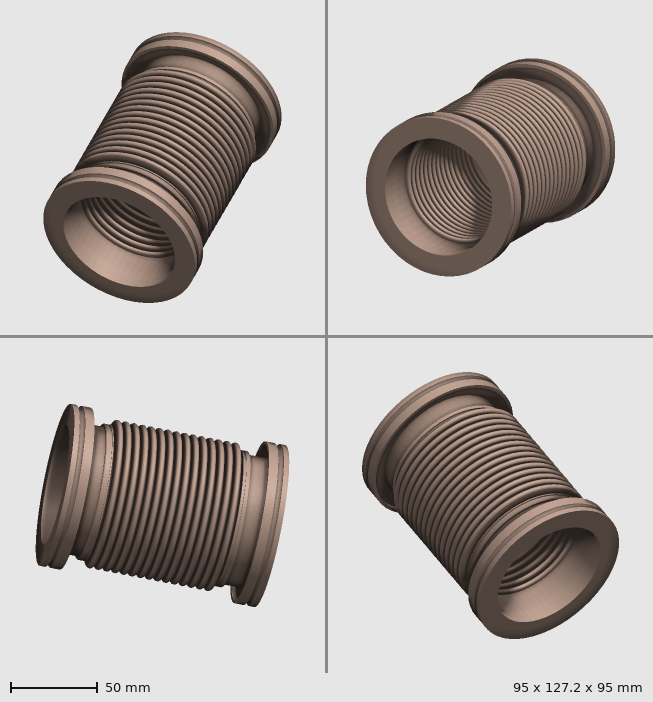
import cadquery as cq

total_length = 127.2
flange_radius = 47.51
bore_radius = 35.0

crest_count = 15
crest_span = 70.0
pitch = crest_span / (crest_count - 1)
wall = 0.32
crest_radius = 43.5
valley_radius = 32.5
crest_bend = 1.5
valley_bend = pitch / 2 - crest_bend
crest_bend_center = crest_radius - crest_bend
valley_bend_center = valley_radius + valley_bend

outer_valley_y = crest_count * pitch / 2
disc_inner_face = outer_valley_y + valley_bend
disc_outer_face = disc_inner_face + wall

flange_length = total_length / 2 - disc_outer_face
flange_thickness = 12.0
neck_radius = 38.0
face_recess_radius = 45.5
face_recess_depth = 2.5
o_ring_groove_center = 4.8
o_ring_groove_width = 3.3
o_ring_groove_depth = 1.5

weld_rim_radius = 40.0
weld_rim_start = 20.7
weld_rim_chamfer = 0.5
weld_groove_width = 1.0
weld_groove_depth = 0.8
weld_lip = 0.45


def revolve_about_y(profile):
    """Turn a closed profile drawn in the XY plane around the Y axis."""
    return profile.close().revolve(360, (0, 0, 0), (0, 1, 0))


def make_flange(side):
    """Flange at the +Y end (side = 1) or the -Y end (side = -1)."""

    def at(radius, depth):
        return (radius, side * (total_length / 2 - depth))

    groove_start = o_ring_groove_center - o_ring_groove_width / 2
    groove_end = o_ring_groove_center + o_ring_groove_width / 2
    recess_floor = flange_thickness - face_recess_depth
    weld_groove_end = flange_length - weld_lip
    weld_groove_start = weld_groove_end - weld_groove_width
    weld_groove_floor = weld_rim_radius - weld_groove_depth

    profile = (
        cq.Workplane("XY")
        .moveTo(*at(bore_radius, 0))
        .lineTo(*at(flange_radius, 0))
        .lineTo(*at(flange_radius, groove_start))
        .threePointArc(
            at(flange_radius - o_ring_groove_depth, o_ring_groove_center),
            at(flange_radius, groove_end),
        )
        .lineTo(*at(flange_radius, flange_thickness))
        .lineTo(*at(face_recess_radius, flange_thickness))
        .lineTo(*at(face_recess_radius, recess_floor))
        .lineTo(*at(neck_radius, recess_floor))
        .lineTo(*at(neck_radius, weld_rim_start))
        .lineTo(*at(weld_rim_radius - weld_rim_chamfer, weld_rim_start))
        .lineTo(*at(weld_rim_radius, weld_rim_start + weld_rim_chamfer))
        .lineTo(*at(weld_rim_radius, weld_groove_start))
        .lineTo(*at(weld_groove_floor, weld_groove_start))
        .lineTo(*at(weld_groove_floor, weld_groove_end))
        .lineTo(*at(weld_rim_radius, weld_groove_end))
        .lineTo(*at(weld_rim_radius, flange_length))
        .lineTo(*at(bore_radius, flange_length))
    )
    return revolve_about_y(profile)


def add_corrugations(profile, direction, depth):
    """Trace the corrugations `depth` below the outside skin, along +Y or -Y.

    The trace starts and ends on the rim of the two end discs.
    """
    valley = valley_bend + depth
    crest = crest_bend - depth

    def add_valley(path, center):
        return (
            path.lineTo(valley_bend_center, center - direction * valley)
            .threePointArc(
                (valley_bend_center - valley, center),
                (valley_bend_center, center + direction * valley),
            )
        )

    def add_crest(path, center):
        return (
            path.lineTo(crest_bend_center, center - direction * crest)
            .threePointArc(
                (crest_bend_center + crest, center),
                (crest_bend_center, center + direction * crest),
            )
        )

    valley_y = -direction * outer_valley_y
    profile = add_valley(profile, valley_y)
    for _ in range(crest_count):
        profile = add_crest(profile, valley_y + direction * pitch / 2)
        valley_y += direction * pitch
        profile = add_valley(profile, valley_y)
    return profile.lineTo(weld_rim_radius, direction * (disc_inner_face + depth))


def make_bellows():
    """Corrugated tube of constant wall, outside skin first and inside skin back."""
    profile = cq.Workplane("XY").moveTo(weld_rim_radius, -disc_inner_face)
    profile = add_corrugations(profile, 1, 0)
    profile = profile.lineTo(weld_rim_radius, disc_outer_face)
    profile = add_corrugations(profile, -1, wall)
    return revolve_about_y(profile)


bellows = make_bellows()
flanges = [make_flange(side) for side in (1, -1)]

result = cq.Compound.makeCompound([bellows.val(), *[flange.val() for flange in flanges]])